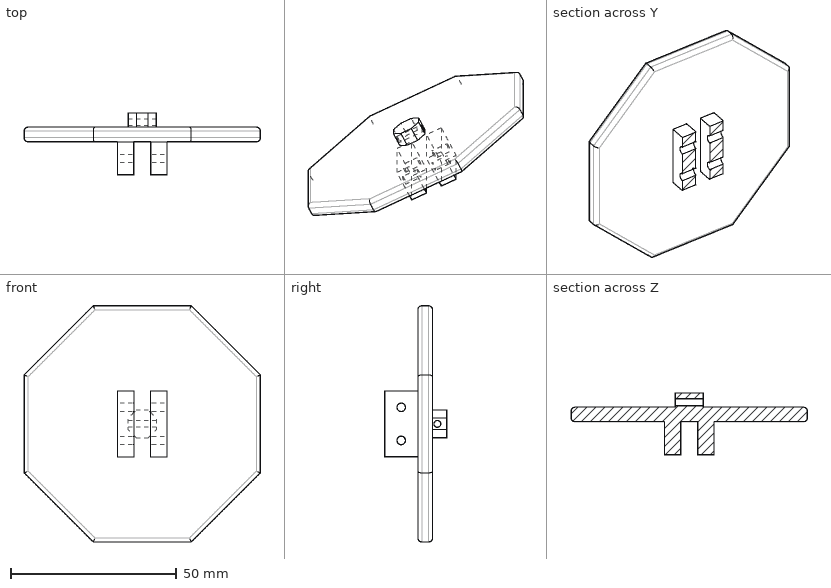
import cadquery as cq
import math

plate_width = 71.6
plate_thickness = 4.5
rim_flat = 2.0
rim_radius = (plate_thickness - rim_flat) / 2

lug_thickness = 5.0
lug_gap = 5.0
lug_depth = 10.0
lug_height = 2 * lug_depth
lug_hole_diameter = 2.5
lug_hole_spacing = lug_height / 2

boss_width = 8.5
boss_depth = 4.3
boss_hole_diameter = 2.0
boss_hole_offset = 1.4


def octagon_prism(width, y_start, depth):
    """Regular octagon, measured across flats, extruded toward +Y."""
    corner_diameter = width / math.cos(math.pi / 8)
    return (
        cq.Workplane("XZ", origin=(0, y_start, 0))
        .transformed(rotate=(0, 0, 22.5))
        .polygon(8, corner_diameter)
        .extrude(-depth)
    )


def cross_hole(diameter, y, z, length):
    """Cylinder along X, centred on X = 0."""
    return (
        cq.Workplane("YZ", origin=(0, y, z))
        .circle(diameter / 2)
        .extrude(length / 2, both=True)
    )


def make_plate():
    plate = octagon_prism(plate_width, 0, plate_thickness)
    return plate.faces("<Y or >Y").edges().fillet(rim_radius)


def make_lugs():
    lug_spacing = lug_gap + lug_thickness
    lugs = (
        cq.Workplane("XZ")
        .rarray(lug_spacing, 0.7, 2, 1)
        .rect(lug_thickness, lug_height)
        .extrude(lug_depth)
    )
    for side in (-1, 1):
        hole_z = side * lug_hole_spacing / 2
        hole_length = 2 * lug_spacing
        lugs = lugs.cut(cross_hole(lug_hole_diameter, -lug_depth / 2, hole_z, hole_length))
    return lugs


def make_boss():
    boss = octagon_prism(boss_width, plate_thickness, boss_depth)
    hole_y = plate_thickness + boss_hole_offset
    return boss.cut(cross_hole(boss_hole_diameter, hole_y, 0, 2 * boss_width))


result = make_plate().union(make_lugs()).union(make_boss())